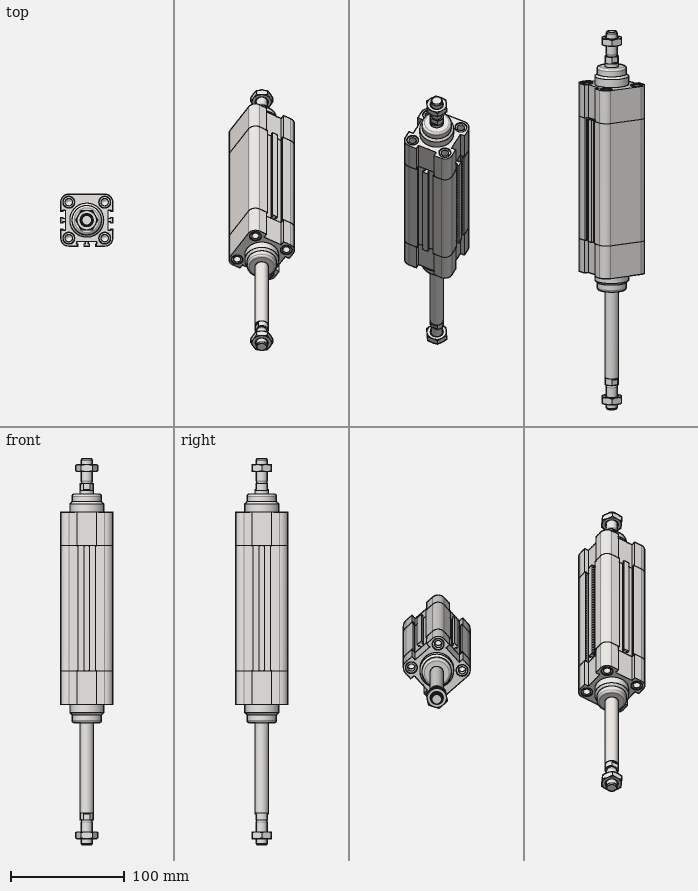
import cadquery as cq
import math


rod_length = 340.0
cap_length = 29.5
barrel_length = 110.0
boss_height = 16.0
top_exposure = 31.3
barrel_top = rod_length - top_exposure - boss_height - cap_length
barrel_bottom = barrel_top - barrel_length

body_width = 46.0
corner_radius = 7.0

cap_slot_depth = 4.0
cap_slot_width = 17.5
groove_offset = 5.0
groove_opening = 5.0
groove_cavity = 7.0
groove_lip = 2.0
groove_depth = 4.0
slot_angles = (0, -90, 180)

boss_diameter = 30.0
collar_diameter = 26.0
boss_straight = 7.0
boss_step = (boss_diameter - collar_diameter) / 2
collar_fillet = 2.0

screw_spacing = body_width - 2 * corner_radius
counterbore_diameter = 10.0
mouth_diameter = 10.5
mouth_chamfer = (mouth_diameter - counterbore_diameter) / 2
counterbore_depth = 0.7
screw_hole_diameter = 6.5
screw_hole_depth = 10.2
drill_tip_height = screw_hole_diameter / 2 / math.tan(math.radians(59))

rod_diameter = 12.0
rod_end_diameter = 11.5
rod_end_length = 6.0
flat_length = 5.0
flat_width = 10.0
thread_diameter = 10.0
thread_length = 22.0
root_diameter = 9.0
root_taper_length = 2.0
tip_diameter = 8.5
tip_taper_length = 1.5

nut_flats = 17.0
nut_thickness = 6.0
nut_inset = 5.5
nut_chamfer_angle = 30
nut_countersink_diameter = 11.5


def square_prism(length):
    """Body section with rounded corners, rising from Z = 0."""
    blank = cq.Workplane("XY").rect(body_width, body_width).extrude(length)
    return blank.edges("|Z").fillet(corner_radius)


def side_box(depth_from, depth_to, offset, width, length, angle):
    """Box between two depths below one side, turned to the side that faces the angle."""
    box = cq.Workplane("XY").box(depth_to - depth_from, width, length, centered=(True, True, False))
    box = box.translate((body_width / 2 - (depth_from + depth_to) / 2, offset, 0))
    return box.rotate((0, 0, 0), (0, 0, 1), angle)


def make_barrel():
    """Extruded tube with a pair of T-grooves along each slotted side."""
    barrel = square_prism(barrel_length)
    for angle in slot_angles:
        for offset in (-groove_offset, groove_offset):
            barrel = barrel.cut(side_box(0, groove_depth, offset, groove_opening, barrel_length, angle))
            barrel = barrel.cut(side_box(groove_lip, groove_depth, offset, groove_cavity, barrel_length, angle))
    bore = cq.Workplane("XY").circle(rod_diameter / 2).extrude(barrel_length)
    return barrel.cut(bore).translate((0, 0, barrel_bottom))


def make_boss():
    """Two-step boss with a conical step, rising from the outer face of the cap."""
    boss = (
        cq.Workplane("XZ")
        .lineTo(boss_diameter / 2, 0)
        .lineTo(boss_diameter / 2, boss_straight)
        .lineTo(collar_diameter / 2, boss_straight + boss_step)
        .lineTo(collar_diameter / 2, boss_height)
        .lineTo(0, boss_height)
        .close()
        .revolve(360, (0, 0, 0), (0, 1, 0))
    )
    return boss.faces(">Z").edges().fillet(collar_fillet).translate((0, 0, cap_length))


def make_screw_hole():
    """Counterbored blind hole with a drill-point bottom, as a solid hanging below Z = 0."""
    return (
        cq.Workplane("XZ")
        .lineTo(mouth_diameter / 2, 0)
        .lineTo(counterbore_diameter / 2, -mouth_chamfer)
        .lineTo(counterbore_diameter / 2, -counterbore_depth)
        .lineTo(screw_hole_diameter / 2, -counterbore_depth)
        .lineTo(screw_hole_diameter / 2, -screw_hole_depth)
        .lineTo(0, -screw_hole_depth - drill_tip_height)
        .close()
        .revolve(360, (0, 0, 0), (0, 1, 0))
    )


def make_cap():
    """End cap with its inner face at Z = 0 and its boss pointing to +Z."""
    cap = square_prism(cap_length).union(make_boss())
    for angle in slot_angles:
        cap = cap.cut(side_box(0, cap_slot_depth, 0, cap_slot_width, cap_length, angle))
    for x in (-screw_spacing / 2, screw_spacing / 2):
        for y in (-screw_spacing / 2, screw_spacing / 2):
            cap = cap.cut(make_screw_hole().translate((x, y, cap_length)))
    bore = cq.Workplane("XY").circle(rod_diameter / 2).extrude(cap_length + boss_height)
    return cap.cut(bore)


def make_rod():
    """Through rod with wrench flats and a plain threaded stub, tapered at its root, at both ends."""
    shoulder = rod_length / 2 - thread_length
    half_profile = (
        cq.Workplane("XZ")
        .lineTo(rod_diameter / 2, 0)
        .lineTo(rod_diameter / 2, shoulder - rod_end_length)
        .lineTo(rod_end_diameter / 2, shoulder - rod_end_length)
        .lineTo(rod_end_diameter / 2, shoulder)
        .lineTo(root_diameter / 2, shoulder)
        .lineTo(thread_diameter / 2, shoulder + root_taper_length)
        .lineTo(thread_diameter / 2, rod_length / 2 - tip_taper_length)
        .lineTo(tip_diameter / 2, rod_length / 2)
        .lineTo(0, rod_length / 2)
        .close()
    )
    half_rod = half_profile.revolve(360, (0, 0, 0), (0, 1, 0))
    for side in (-1, 1):
        flat = cq.Workplane("XY").box(rod_diameter, rod_diameter, flat_length)
        flat = flat.translate((0, side * (flat_width + rod_diameter) / 2, shoulder - flat_length / 2))
        half_rod = half_rod.cut(flat)
    rod = half_rod.union(half_rod.mirror("XY"))
    return rod.translate((0, 0, rod_length / 2))


def make_nut():
    """Hexagon nut centred on Z = 0, corners along X, chamfered on both faces."""
    across_corners = nut_flats / math.cos(math.radians(30))
    corner_drop = (across_corners - nut_flats) / 2 * math.tan(math.radians(nut_chamfer_angle))
    hexagon = cq.Workplane("XY").polygon(6, across_corners).extrude(nut_thickness / 2, both=True)
    envelope = (
        cq.Workplane("XZ")
        .moveTo(0, -nut_thickness / 2)
        .lineTo(nut_flats / 2, -nut_thickness / 2)
        .lineTo(across_corners / 2, -nut_thickness / 2 + corner_drop)
        .lineTo(across_corners / 2, nut_thickness / 2 - corner_drop)
        .lineTo(nut_flats / 2, nut_thickness / 2)
        .lineTo(0, nut_thickness / 2)
        .close()
        .revolve(360, (0, 0, 0), (0, 1, 0))
    )
    bore = cq.Workplane("XY").circle(thread_diameter / 2).extrude(nut_thickness, both=True)
    nut = hexagon.intersect(envelope).cut(bore)
    rims = nut.edges(cq.selectors.RadiusNthSelector(0))
    return rims.chamfer((nut_countersink_diameter - thread_diameter) / 2)


barrel = make_barrel()
rod = make_rod()

cap = make_cap()
caps = [
    cap.translate((0, 0, barrel_top)),
    cap.mirror("XY").translate((0, 0, barrel_bottom)),
]

nut_centre = nut_inset + nut_thickness / 2
nuts = [make_nut().translate((0, 0, z)) for z in (nut_centre, rod_length - nut_centre)]

result = cq.Compound.makeCompound([body.solids().val() for body in [barrel, rod, *caps, *nuts]])